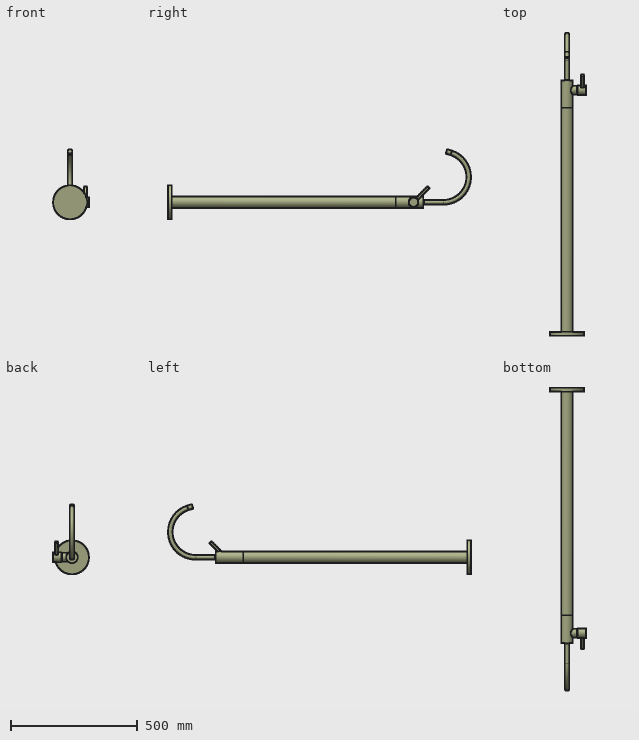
import cadquery as cq
import math

total_length = 1197.2

flange_diameter = 135.0
flange_thickness = 16.0
column_diameter = 46.0

spout_diameter = 19.0
bend_radius = 100.0
bend_sweep = 162.0
spout_straight = 76.0
aerator_diameter = 19.0
aerator_length = 20.0

head_length = 109.0
collar_length = 3.0

valve_setback = 39.0
neck_diameter = 36.0
neck_end = 38.5
knob_diameter = 39.0
knob_shank_length = 3.0
knob_end = 75.0
lever_diameter = 12.0
lever_x = 61.0
lever_reach = 84.0
lever_tilt = 45.0
lever_socket_depth = 8.0

flange_start = 0.0
flange_end = flange_start + flange_thickness
bend_start = flange_start + total_length - bend_radius - spout_diameter / 2
spout_start = bend_start - spout_straight
head_end = spout_start - collar_length
head_start = head_end - head_length
valve_y = head_end - valve_setback


def cylinder(diameter, start, direction, length):
    """Solid cylinder from a start point along a direction."""
    return cq.Workplane(
        cq.Solid.makeCylinder(diameter / 2, length, cq.Vector(*start), cq.Vector(*direction))
    )


def cylinder_along_y(diameter, start, end):
    """Cylinder on the stand's axis."""
    return cylinder(diameter, (0, start, 0), (0, 1, 0), end - start)


def cylinder_along_x(diameter, start, end):
    """Cylinder on the side valve's axis."""
    return cylinder(diameter, (start, valve_y, 0), (1, 0, 0), end - start)


def bend_point(angle):
    """Point on the spout's bend, with the angle in degrees from where the bend starts."""
    turn = math.radians(angle)
    return (bend_start + bend_radius * math.sin(turn), bend_radius * (1 - math.cos(turn)))


def make_head():
    """Barrel with a short collar that carries the spout."""
    barrel = cylinder_along_y(column_diameter, head_start, head_end)
    collar = cylinder_along_y(spout_diameter, head_end, spout_start)
    return barrel.union(collar)


def make_knob():
    """Knob with a narrower shank that meets the neck."""
    shank_end = neck_end + knob_shank_length
    shank = cylinder_along_x(neck_diameter, neck_end, shank_end)
    grip = cylinder_along_x(knob_diameter, shank_end, knob_end)
    return grip.union(shank)


def make_spout():
    """Rod swept along a straight run and the bend."""
    path = (
        cq.Workplane("YZ")
        .moveTo(spout_start, 0)
        .lineTo(bend_start, 0)
        .threePointArc(bend_point(bend_sweep / 2), bend_point(bend_sweep))
    )
    profile = cq.Workplane("XZ", origin=(0, spout_start, 0)).circle(spout_diameter / 2)
    return profile.sweep(path)


def make_aerator():
    """Straight nozzle that carries on from the end of the bend."""
    turn = math.radians(bend_sweep)
    start_y, start_z = bend_point(bend_sweep)
    direction = (0, math.cos(turn), math.sin(turn))
    return cylinder(aerator_diameter, (0, start_y, start_z), direction, aerator_length)


def make_lever():
    """Rod that points up and away from the flange, seated in the knob."""
    tilt = math.radians(lever_tilt)
    seat = knob_diameter / 2 - lever_socket_depth
    direction = (0, math.cos(tilt), math.sin(tilt))
    start = (lever_x, valve_y + seat * direction[1], seat * direction[2])
    return cylinder(lever_diameter, start, direction, lever_reach - seat)


flange = cylinder_along_y(flange_diameter, flange_start, flange_end)
column = cylinder_along_y(column_diameter, flange_end, head_start)
head = make_head()
neck = cylinder_along_x(neck_diameter, 0, neck_end).cut(head)
lever = make_lever()
knob = make_knob().cut(lever)
spout = make_spout()
aerator = make_aerator()

bodies = [flange, column, head, neck, knob, lever, spout, aerator]
result = cq.Compound.makeCompound([body.val() for body in bodies])